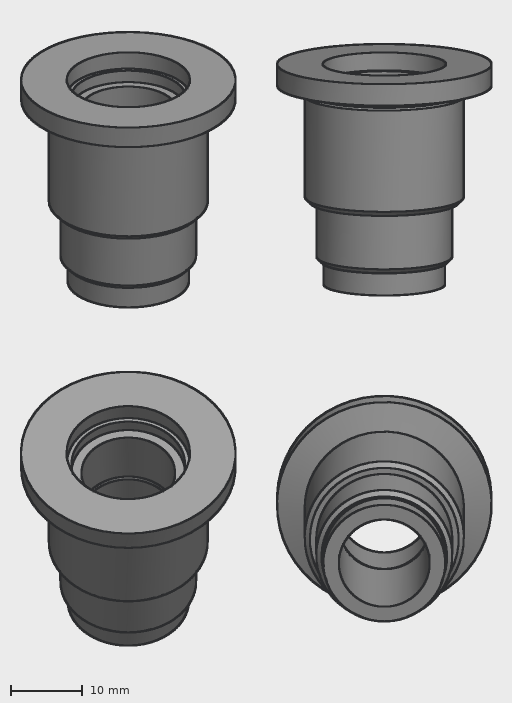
import cadquery as cq

total_height = 31.29

flange_diameter = 29.97
flange_root_diameter = 21.59
body_diameter = 22.23
neck_diameter = 19.0
spigot_diameter = 17.02

flange_rim_thickness = 3.05
flange_taper_height = 1.123
body_bottom_z = 11.68
neck_bottom_z = 3.2
edge_chamfer = 0.73
rim_bottom_z = total_height - flange_rim_thickness
flange_root_z = rim_bottom_z - flange_taper_height

recess_diameter = 17.2
recess_depth = 2.54
seat_diameter = 15.88
seat_depth = 1.78
bore_diameter = 13.08
outlet_diameter = 12.7
outlet_z = 18.3
outlet_taper_height = 0.4


def frustum(bottom_z, top_z, bottom_diameter, top_diameter):
    """Solid of revolution about Z with straight or tapered sides."""
    return (
        cq.Workplane("XZ")
        .moveTo(0, bottom_z)
        .lineTo(bottom_diameter / 2, bottom_z)
        .lineTo(top_diameter / 2, top_z)
        .lineTo(0, top_z)
        .close()
        .revolve(360, (0, 0, 0), (0, 1, 0))
    )


def cylinder(bottom_z, top_z, diameter):
    """Straight cylinder about Z."""
    return frustum(bottom_z, top_z, diameter, diameter)


def make_flange():
    """Flat-topped rim with a conical underside."""
    rim = cylinder(rim_bottom_z, total_height, flange_diameter)
    taper = frustum(flange_root_z, rim_bottom_z, flange_root_diameter, flange_diameter)
    return rim.union(taper)


def make_body():
    """Largest barrel, chamfered below and relieved where it meets the flange."""
    relief = (body_diameter - flange_root_diameter) / 2
    body = cylinder(body_bottom_z, flange_root_z, body_diameter)
    return body.faces("<Z").chamfer(edge_chamfer).faces(">Z").chamfer(relief)


def make_neck():
    """Middle barrel, chamfered at its lower edge."""
    return cylinder(neck_bottom_z, body_bottom_z, neck_diameter).faces("<Z").chamfer(edge_chamfer)


def make_bore():
    """Stepped opening at the top, then a through bore that tapers to a narrower outlet."""
    recess_floor_z = total_height - recess_depth
    outlet_top_z = outlet_z + outlet_taper_height
    seat_floor_z = recess_floor_z - seat_depth
    recess = cylinder(recess_floor_z, total_height, recess_diameter)
    seat = cylinder(seat_floor_z, recess_floor_z, seat_diameter)
    bore = cylinder(outlet_top_z, seat_floor_z, bore_diameter)
    outlet_taper = frustum(outlet_z, outlet_top_z, outlet_diameter, bore_diameter)
    outlet = cylinder(0, outlet_z, outlet_diameter)
    return recess.union(seat).union(bore).union(outlet_taper).union(outlet)


spigot = cylinder(0, neck_bottom_z, spigot_diameter)

outside = make_flange().union(make_body()).union(make_neck()).union(spigot)
result = outside.cut(make_bore())